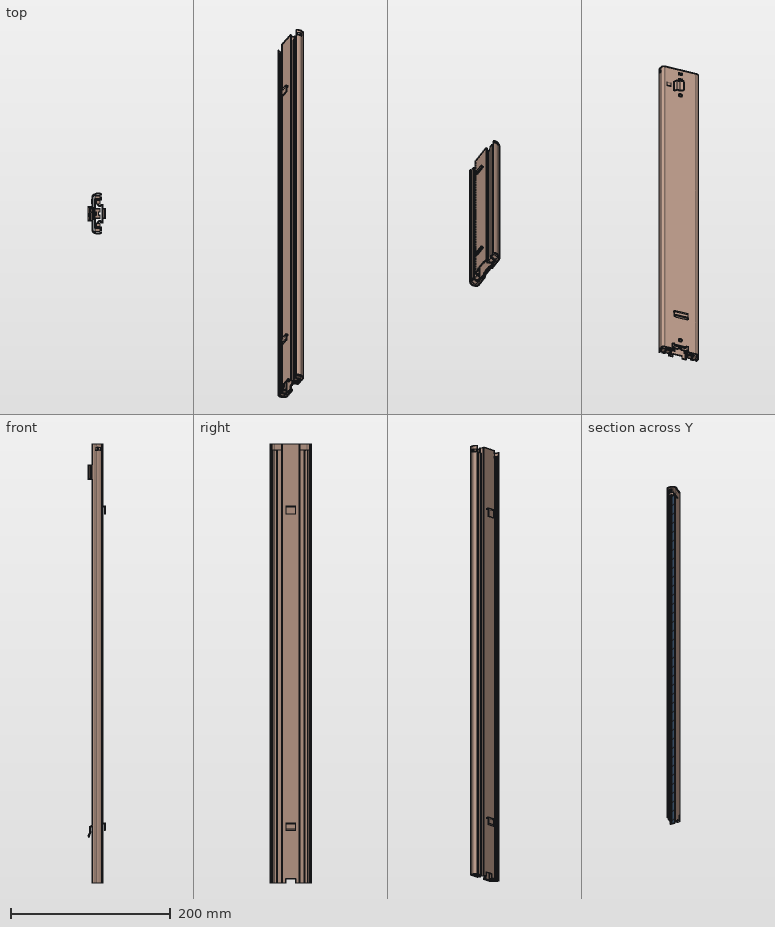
import cadquery as cq

LENGTH = 550.0
HALF_HEIGHT = 26.0
HOOK_WIDTH = 18.0
HOOK_REACH = 11.0
CLEARANCE = 0.3

OUTER_DEPTH = 11.5
OUTER_BACK = -OUTER_DEPTH / 2
OUTER_THICK = 1.25
OUTER_EDGE = OUTER_DEPTH / 2
WEB_HALF = 20.5
HOLE_DIAMETER = 5.0
HOLE_HEIGHTS = (20.0, 500.5)
SLOT_HEIGHTS = (531.0, 542.5)
SLOT_TALL = 3.5
FLANGE_SLOT_X = (-1.0, 5.0)
FLANGE_SLOT_Z = (542.5, 545.5)

MIDDLE_TOP = 542.5
MIDDLE_BACK = -3.0
MIDDLE_THICK = 1.2
MIDDLE_HALF = 18.0
MIDDLE_HOLE_HEIGHT = 4.7
MIDDLE_LIP_HALF = 21.0

INNER_FACE = 7.5
INNER_THICK = 1.0
INNER_HALF = 11.5
INNER_EDGE = 0.8
RACE_DEPTH = 1.5

NOTCH_HALF = 6.0
NOTCH_TOP = 5.2
WINDOW_HALF = 10.5
WINDOW_BOTTOM = 3.0
WINDOW_TOP = 9.0
EAR_INNER = 7.5
EAR_TOP = 10.5

OUTER_RETAINER_X = (-2.0, 4.1)
OUTER_RETAINER_TOP_Y = 22.5
INNER_RETAINER_X = (-0.5, 4.1)

BUMPER_FRONT = 4.1
BUMPER_HALF = 6.0
BUMPER_TOP = 546.5
WAIST_HALF = 1.9
WAIST_X = (-0.5, 2.0)


def block(x_range, y_range, z_range):
    """Box given by its limits along each axis."""
    size = [high - low for low, high in (x_range, y_range, z_range)]
    corner = (x_range[0], y_range[0], z_range[0])
    return cq.Workplane(cq.Solid.makeBox(*size, cq.Vector(*corner)))


def mirrored(half):
    """Join a half body to its mirror image across Y = 0."""
    return half.union(half.mirror("XZ"))


def foot_notch():
    """Cutter for the notch that runs through the webs at Z = 0."""
    return block((-HOOK_REACH, HOOK_REACH), (-NOTCH_HALF, NOTCH_HALF), (0, NOTCH_TOP))


def web_hole(height, x_range):
    """Cutter for a round hole along X."""
    return (
        cq.Workplane("YZ", origin=(x_range[0], 0, height))
        .circle(HOLE_DIAMETER / 2)
        .extrude(x_range[1] - x_range[0])
    )


def outer_channel():
    """C-shaped channel with rounded corners and flanges bulged outwards as ball races."""
    inside = OUTER_BACK + OUTER_THICK
    corner_end = (-2.0, HALF_HEIGHT - 1.0)
    corner_middle = (-4.8, HALF_HEIGHT - 2.5)
    corner_middle_inside = (-4.0, HALF_HEIGHT - 3.6)
    race_start = (-0.5, HALF_HEIGHT - 0.3)
    race_middle = (1.9, HALF_HEIGHT)
    race_end = (OUTER_EDGE, HALF_HEIGHT - 1.4)

    def inner_skin(point):
        return (point[0], point[1] - OUTER_THICK)

    half = (
        cq.Workplane("XY")
        .moveTo(OUTER_BACK, 0)
        .lineTo(OUTER_BACK, WEB_HALF)
        .threePointArc(corner_middle, corner_end)
        .lineTo(*race_start)
        .threePointArc(race_middle, race_end)
        .lineTo(*inner_skin(race_end))
        .threePointArc(inner_skin(race_middle), inner_skin(race_start))
        .lineTo(*inner_skin(corner_end))
        .threePointArc(corner_middle_inside, (inside, WEB_HALF))
        .lineTo(inside, 0)
        .close()
        .extrude(LENGTH)
    )
    return mirrored(half)


def outer_foot_window():
    """Window in the outer web, with corner reliefs above and a narrower mouth below."""
    mouth_half = 6.5
    mouth_straight = 1.0
    neck_half = 8.0
    half = [
        (mouth_half, 0),
        (mouth_half, mouth_straight),
        (neck_half, WINDOW_BOTTOM),
        (WINDOW_HALF, WINDOW_BOTTOM),
        (WINDOW_HALF, EAR_TOP),
        (EAR_INNER, EAR_TOP),
        (EAR_INNER, WINDOW_TOP),
    ]
    outline = half + [(-y, z) for y, z in reversed(half)]
    return (
        cq.Workplane("YZ", origin=(OUTER_BACK, 0, 0)).polyline(outline).close().extrude(OUTER_THICK)
    )


def foot_tab():
    """Tab above the foot window, bent inwards at 45 degrees."""
    bend = 1.5
    inside = OUTER_BACK + OUTER_THICK
    outline = [
        (OUTER_BACK, WINDOW_TOP),
        (OUTER_BACK + bend, WINDOW_TOP - bend),
        (inside + bend / 2, WINDOW_TOP - bend / 2),
        (inside, WINDOW_TOP),
    ]
    return (
        cq.Workplane("XZ", origin=(0, EAR_INNER, 0)).polyline(outline).close().extrude(2 * EAR_INNER)
    )


def hook(shoulder_drop, flare_drop, tip_drop):
    """Sheet hook on the -X side, bent out from the web and flared towards its free tip.

    Its root lies at Z = 0 and the bends and the tip lie below it, centred on Y = 0.
    """
    half_width = HOOK_WIDTH / 2
    tip_chamfer = 1.5
    sheet = 1.4
    shoulder = -9.5
    waist = -9.0
    end_drop = tip_drop + sheet
    profile = [
        (OUTER_BACK, 0),
        (shoulder, -shoulder_drop),
        (waist, -flare_drop),
        (-HOOK_REACH, -tip_drop),
        (-HOOK_REACH + sheet, -end_drop),
        (waist + sheet, -flare_drop),
        (shoulder + sheet, -shoulder_drop - sheet / 2),
        (OUTER_BACK, -sheet),
    ]
    bent_sheet = (
        cq.Workplane("XZ", origin=(0, half_width, 0)).polyline(profile).close().extrude(HOOK_WIDTH)
    )
    plan = [
        (-half_width, 0),
        (half_width, 0),
        (half_width, tip_chamfer - end_drop),
        (half_width - tip_chamfer, -end_drop),
        (tip_chamfer - half_width, -end_drop),
        (-half_width, tip_chamfer - end_drop),
    ]
    return bent_sheet.intersect(
        cq.Workplane("YZ", origin=(-HOOK_REACH, 0, 0)).polyline(plan).close().extrude(HOOK_REACH)
    )


def lower_hook():
    root_height = 72.5
    return hook(shoulder_drop=2.0, flare_drop=9.0, tip_drop=14.0).translate((0, 0, root_height))


def upper_hook():
    """Same kind of hook turned to open towards -Y."""
    root_y = HOOK_WIDTH / 2
    middle_height = 515.0
    turned = hook(shoulder_drop=3.5, flare_drop=7.5, tip_drop=11.5).rotate((0, 0, 0), (1, 0, 0), -90)
    return turned.translate((0, root_y, middle_height))


def catch():
    """Small wedge beside the upper hook, rising towards its lower end."""
    rise = 0.8
    top = 519.0
    bottom = 512.5
    side_y = 17.5
    width = 5.0
    outline = [(OUTER_BACK, top), (OUTER_BACK - rise, bottom), (OUTER_BACK, bottom)]
    return cq.Workplane("XZ", origin=(0, side_y, 0)).polyline(outline).close().extrude(width)


def build_outer_rail():
    """Channel with its foot window, holes, slots, hooks and catch."""
    web = (OUTER_BACK, OUTER_BACK + OUTER_THICK)
    rail = outer_channel().cut(outer_foot_window())
    for height in HOLE_HEIGHTS:
        rail = rail.cut(web_hole(height, web))
    for height in SLOT_HEIGHTS:
        z_range = (height - SLOT_TALL / 2, height + SLOT_TALL / 2)
        rail = rail.cut(block(web, (-HOLE_DIAMETER / 2, HOLE_DIAMETER / 2), z_range))
    rail = rail.cut(block(FLANGE_SLOT_X, (-HALF_HEIGHT, HALF_HEIGHT), FLANGE_SLOT_Z))
    for feature in (foot_tab(), lower_hook(), upper_hook(), catch()):
        rail = rail.union(feature)
    return rail


def build_middle_rail():
    """Channel whose flanges end in outward lips; it stops short of the upper end."""
    inside = MIDDLE_BACK + MIDDLE_THICK
    outline = [
        (MIDDLE_BACK, 0),
        (MIDDLE_BACK, MIDDLE_HALF),
        (OUTER_EDGE - MIDDLE_THICK, MIDDLE_HALF),
        (OUTER_EDGE - MIDDLE_THICK, MIDDLE_LIP_HALF),
        (OUTER_EDGE, MIDDLE_LIP_HALF),
        (OUTER_EDGE, MIDDLE_HALF - MIDDLE_THICK),
        (inside, MIDDLE_HALF - MIDDLE_THICK),
        (inside, 0),
    ]
    rail = mirrored(cq.Workplane("XY").polyline(outline).close().extrude(MIDDLE_TOP))
    return rail.cut(foot_notch()).cut(web_hole(MIDDLE_HOLE_HEIGHT, (MIDDLE_BACK, inside)))


def drawer_lug(bottom, top, chamfer):
    """Lug on the +X face: an arm with a lip turned down, whose tip can be chamfered outside."""
    half_width = 6.0
    sheet = 1.2
    y_range = (-half_width, half_width)
    arm = block((INNER_FACE, HOOK_REACH), y_range, (top - sheet, top))
    lip = block((HOOK_REACH - sheet, HOOK_REACH), y_range, (bottom, top))
    if chamfer:
        lip = lip.faces(">X").edges("<Z").chamfer(chamfer, sheet / 2)
    return arm.union(lip)


def build_inner_rail():
    """Channel that opens towards -X, with ball races sunk into its flanges and two lugs."""
    inside = INNER_FACE - INNER_THICK
    flat = 0.8
    race_x = (INNER_EDGE + inside) / 2
    race_y = INNER_HALF - RACE_DEPTH
    skin_y = INNER_HALF - INNER_THICK
    half = (
        cq.Workplane("XY")
        .moveTo(INNER_FACE, 0)
        .lineTo(INNER_FACE, INNER_HALF)
        .lineTo(inside - flat, INNER_HALF)
        .threePointArc((race_x, race_y), (INNER_EDGE + flat, INNER_HALF))
        .lineTo(INNER_EDGE, INNER_HALF)
        .lineTo(INNER_EDGE, skin_y)
        .lineTo(INNER_EDGE + flat, skin_y)
        .threePointArc((race_x, race_y - INNER_THICK), (inside - flat, skin_y))
        .lineTo(inside, skin_y)
        .lineTo(inside, 0)
        .close()
        .extrude(LENGTH)
    )
    rail = mirrored(half)
    rail = rail.cut(foot_notch())
    upper_lug = drawer_lug(bottom=462.0, top=472.5, chamfer=0)
    lower_lug = drawer_lug(bottom=66.0, top=75.5, chamfer=1.5)
    return rail.union(upper_lug).union(lower_lug)


def build_retainer(x_range, y_range, side):
    """Strip between two flanges; side is +1 or -1 along Y."""
    y_limits = sorted(side * y for y in y_range)
    return block(x_range, y_limits, (0, MIDDLE_TOP))


def build_bumper():
    """Stop with an I-shaped section, seated on the upper end of the intermediate rail."""
    z_range = (MIDDLE_TOP, BUMPER_TOP)
    bumper = block((MIDDLE_BACK, BUMPER_FRONT), (-BUMPER_HALF, BUMPER_HALF), z_range)
    for x_range in ((MIDDLE_BACK, WAIST_X[0]), (WAIST_X[1], BUMPER_FRONT)):
        bumper = bumper.cut(block(x_range, (-WAIST_HALF, WAIST_HALF), z_range))
    return bumper


outer_rail = build_outer_rail()
middle_rail = build_middle_rail()
inner_rail = build_inner_rail()
bumper = build_bumper()

outer_gap = (MIDDLE_HALF + CLEARANCE, OUTER_RETAINER_TOP_Y)
inner_gap = (INNER_HALF + CLEARANCE, MIDDLE_HALF - MIDDLE_THICK - CLEARANCE)
retainers = []
for side in (1, -1):
    retainers.append(build_retainer(OUTER_RETAINER_X, outer_gap, side).val())
    retainers.append(build_retainer(INNER_RETAINER_X, inner_gap, side).val())

result = cq.Compound.makeCompound(
    [outer_rail.val(), middle_rail.val(), inner_rail.val(), *retainers, bumper.val()]
)